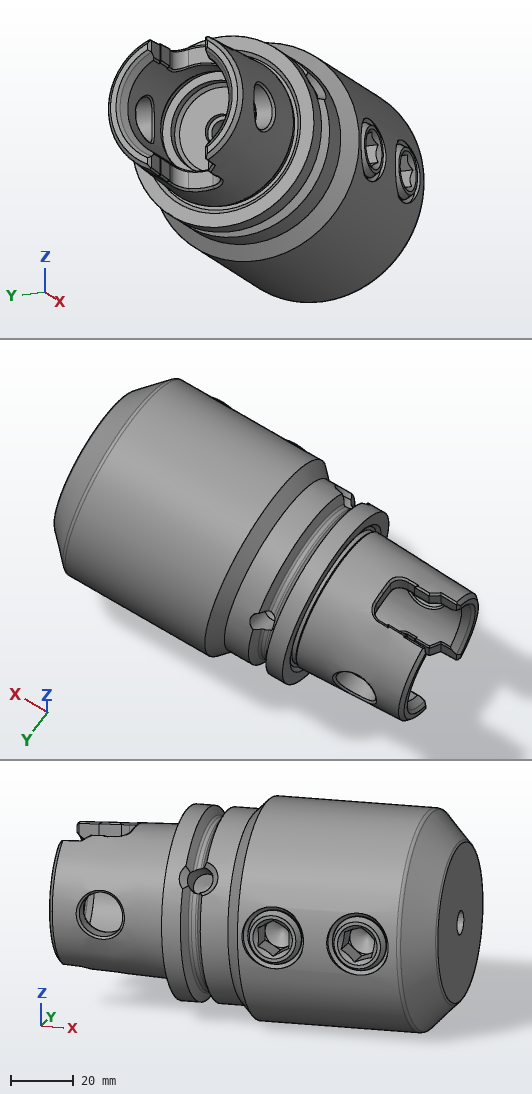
import cadquery as cq
import math


shank_length = 39.95
shank_base_radius = 24.9
shank_tip_radius = 23.3
tip_chamfer = 1.3
shank_end = -shank_length

relief_start = -1.1
relief_depth = 1.0
relief_inner_radius = 24.4
relief_floor_radius = 25.6
relief_outer_radius = 26.9

flange_radius = 31.5
groove_start = 6.26
groove_end = 12.84
groove_floor_radius = 28.0
groove_half_angle = 30
groove_corner_radius = 1.0

body_radius = 36.0
body_cone_start = 22.0
body_full_start = body_cone_start + body_radius - flange_radius
nose_start = 80.0
nose_end = 90.0
nose_edge_start = 89.5
nose_edge_radius = body_radius - (nose_edge_start - nose_start)
nose_edge_chamfer = 0.7
nose_blend_radius = 1.7

mouth_radius = 20.1
mouth_step_radius = 19.1
bore_radius = 17.5
mouth_step_depth = 1.0
mouth_depth = 3.5
undercut_radius = 18.3
undercut_start = -9.5
undercut_full = -8.3
bore_floor = -6.0
recess_radius = 15.4
recess_floor_radius = 14.2
recess_chamfer_start = -3.0
recess_floor = recess_chamfer_start + recess_radius - recess_floor_radius
coolant_radius = 3.9
coolant_rim_radius = 5.3
coolant_rim_depth = 2.0

slot_half_width = 7.8
slot_relief_half_width = 8.2
slot_floor = -18.1
slot_corner_radius = 4.0
slot_relief_start = -24.8
slot_mouth_end = -32.2
slot_mouth_half_width = 10.5
slot_mouth_ramp = 1.8
slot_mouth_flare = 1.0

outer_rim_chamfer = 0.8
inner_rim_chamfer = 0.5
on_surface_tolerance = 0.05

cross_hole_x = -22.5
cross_hole_radius = 7.3

index_hole_x = 11.05
index_hole_angle = 30
index_hole_radius = 4.2
plain_index_hole_radius = 3.8
index_rim_radius = 6.36
index_hole_floor = 21.3
drill_point_half_angle = 59

screw_positions = (38.2, 66.3)
screw_turns = (0, 11)
screw_radius = 8.9
screw_face_y = 36.13
screw_face_radius = 7.7
screw_chamfer_length = 2.2
screw_length = 20.0
screw_rim_radius = 10.2
screw_rim_depth = 1.5
socket_across_flats = 10.2
socket_rim_radius = 6.55
socket_depth = 9.0


def revolve_about_x(points):
    """Solid of revolution about X from a closed (x, radius) outline."""
    return cq.Workplane("XZ").polyline(points).close().revolve(360, (0, 0), (1, 0))


def plug(start_point, direction, length, start_radius, end_radius):
    """Cylinder or cone that starts at a point and runs along a direction."""
    start = cq.Vector(*start_point)
    axis = cq.Vector(*direction)
    if start_radius == end_radius:
        solid = cq.Solid.makeCylinder(start_radius, length, start, axis)
    else:
        solid = cq.Solid.makeCone(start_radius, end_radius, length, start, axis)
    return cq.Workplane(obj=solid)


def shank_blank():
    return revolve_about_x([
        (shank_end, 0),
        (shank_end, shank_tip_radius - tip_chamfer),
        (shank_end + tip_chamfer, shank_tip_radius),
        (relief_start, shank_base_radius),
        (relief_start, 0),
    ])


def shank_bore():
    return revolve_about_x([
        (shank_end, 0),
        (shank_end, mouth_radius),
        (shank_end + mouth_step_depth, mouth_step_radius),
        (shank_end + mouth_depth, bore_radius),
        (undercut_start, bore_radius),
        (undercut_full, undercut_radius),
        (bore_floor, undercut_radius),
        (bore_floor, recess_radius),
        (recess_chamfer_start, recess_radius),
        (recess_floor, recess_floor_radius),
        (recess_floor, coolant_rim_radius),
        (recess_floor + coolant_rim_depth, coolant_rim_radius),
        (recess_floor + coolant_rim_depth, coolant_radius),
        (nose_end, coolant_radius),
        (nose_end, 0),
    ])


def drive_slot():
    """Slot through the shank along Z, with a wider mouth on the -Y side."""
    outside = shank_end - 1
    outline = (
        cq.Workplane("XY")
        .polyline([
            (outside, slot_relief_half_width + slot_mouth_flare + 1),
            (shank_end + slot_mouth_flare, slot_relief_half_width),
            (slot_mouth_end, slot_relief_half_width),
            (slot_mouth_end, slot_half_width),
            (slot_relief_start, slot_half_width),
            (slot_relief_start, slot_relief_half_width),
            (slot_floor, slot_relief_half_width),
            (slot_floor, -slot_relief_half_width),
            (slot_relief_start, -slot_relief_half_width),
            (slot_relief_start, -slot_half_width),
            (slot_mouth_end + slot_mouth_ramp, -slot_half_width),
            (slot_mouth_end - slot_mouth_ramp / 2, -slot_mouth_half_width),
            (shank_end + slot_mouth_flare, -slot_mouth_half_width),
            (outside, -slot_mouth_half_width - slot_mouth_flare - 1),
        ])
        .close()
    )
    slot = outline.extrude(shank_base_radius + 1, both=True)
    return slot.edges("|Z and >X").fillet(slot_corner_radius)


def is_outer_rim(edge):
    """True for the slot and hole edges that lie on the tapered outside of the shank."""
    middle = edge.positionAt(0.5)
    taper = (shank_base_radius - shank_tip_radius) / (relief_start - shank_end - tip_chamfer)
    taper_radius = shank_base_radius - taper * (relief_start - middle.x)
    on_taper = abs(math.hypot(middle.y, middle.z) - taper_radius) < on_surface_tolerance
    within_taper = shank_end + tip_chamfer + on_surface_tolerance < middle.x < slot_floor + on_surface_tolerance
    return on_taper and within_taper


def is_inner_rim(edge):
    """True for the slot and hole edges that lie on the straight bore of the shank."""
    middle = edge.positionAt(0.5)
    on_bore = abs(math.hypot(middle.y, middle.z) - bore_radius) < on_surface_tolerance
    within_bore = shank_end + mouth_depth + on_surface_tolerance < middle.x < slot_floor + on_surface_tolerance
    return on_bore and within_bore


def chamfer_edges(body, belongs, size):
    """Chamfer the edges of a body that pass the given test."""
    chosen = [edge for edge in body.edges().vals() if belongs(edge)]
    return body.newObject(chosen).chamfer(size)


def cross_hole():
    """Hole through both walls of the shank along Y."""
    return plug((cross_hole_x, -body_radius, 0), (0, 1, 0), 2 * body_radius,
                cross_hole_radius, cross_hole_radius)


def collar_and_body():
    """Flange, V-groove, clamping body and nose as one turned blank."""
    wall_run = (flange_radius - groove_floor_radius) * math.tan(math.radians(groove_half_angle))
    blank = revolve_about_x([
        (relief_start, 0),
        (relief_start, shank_base_radius),
        (relief_start + shank_base_radius - relief_inner_radius, relief_inner_radius),
        (relief_depth, relief_inner_radius),
        (relief_depth, relief_floor_radius),
        (0, relief_outer_radius),
        (0, flange_radius),
        (groove_start, flange_radius),
        (groove_start + wall_run, groove_floor_radius),
        (groove_end - wall_run, groove_floor_radius),
        (groove_end, flange_radius),
        (body_cone_start, flange_radius),
        (body_full_start, body_radius),
        (nose_start, body_radius),
        (nose_edge_start, nose_edge_radius),
        (nose_end, nose_edge_radius - nose_edge_chamfer),
        (nose_end, 0),
    ])
    groove_box = cq.selectors.BoxSelector(
        (groove_start + 1, -flange_radius, -flange_radius),
        (groove_end - 1, flange_radius, flange_radius), boundingbox=False)
    blank = blank.edges("%CIRCLE").edges(groove_box).fillet(groove_corner_radius)
    nose_box = cq.selectors.BoxSelector(
        (nose_start - 0.1, -body_radius, -body_radius),
        (nose_start + 0.1, body_radius, body_radius))
    return blank.edges("%CIRCLE").edges(nose_box).fillet(nose_blend_radius)


def index_hole(side, radius, rim_radius):
    """Radial drilled hole in the flange groove, leaning up from the given Y side.

    A rim radius above the hole radius adds a conical rim.
    """
    lean = math.radians(index_hole_angle)
    outward = cq.Vector(0, side * math.cos(lean), math.sin(lean))
    centre = cq.Vector(index_hole_x, 0, 0)
    floor = centre + outward * index_hole_floor
    hole = plug(floor.toTuple(), outward.toTuple(), body_radius - index_hole_floor - 1,
                radius, radius)
    point_length = radius / math.tan(math.radians(drill_point_half_angle))
    hole = hole.union(plug(floor.toTuple(), (-outward).toTuple(), point_length, radius, 0))
    if rim_radius > radius:
        mouth = centre + outward * flange_radius
        rim_depth = rim_radius - radius
        hole = hole.union(plug((mouth - outward * rim_depth).toTuple(), outward.toTuple(),
                               2 * rim_depth, radius, rim_radius + rim_depth))
    return hole


def screw_hole(x):
    """Blind screw hole with a counterbore that tapers down to the screw."""
    hole = plug((x, -screw_face_y - 1, 0), (0, 1, 0), screw_length + 1, screw_radius, screw_radius)
    rim_floor_y = -body_radius + screw_rim_depth
    counterbore = plug((x, rim_floor_y, 0), (0, -1, 0), screw_rim_depth + 1,
                       screw_rim_radius, screw_rim_radius)
    rim = plug((x, rim_floor_y, 0), (0, 1, 0), screw_rim_radius - screw_radius,
               screw_rim_radius, screw_radius)
    return hole.union(counterbore).union(rim)


def make_holder():
    shank = shank_blank().cut(shank_bore()).cut(drive_slot()).cut(cross_hole())
    shank = chamfer_edges(shank, is_outer_rim, outer_rim_chamfer)
    shank = chamfer_edges(shank, is_inner_rim, inner_rim_chamfer)
    holder = shank.union(collar_and_body().cut(shank_bore()))
    holder = holder.cut(index_hole(-1, index_hole_radius, index_rim_radius))
    holder = holder.cut(index_hole(1, plain_index_hole_radius, plain_index_hole_radius))
    for x in screw_positions:
        holder = holder.cut(screw_hole(x))
    return holder


def make_screw(x, turn):
    """Clamping screw with a chamfered outer face and a hexagon socket."""
    face = (x, -screw_face_y, 0)
    inward = (0, 1, 0)
    screw = plug(face, inward, screw_chamfer_length, screw_face_radius, screw_radius)
    shaft_start = (x, -screw_face_y + screw_chamfer_length, 0)
    screw = screw.union(plug(shaft_start, inward, screw_length - screw_chamfer_length,
                             screw_radius, screw_radius))

    corner_diameter = socket_across_flats / math.cos(math.pi / 6)
    socket_plane = cq.Plane(origin=face, xDir=(0, 0, 1), normal=inward)
    socket = cq.Workplane(socket_plane).polygon(6, corner_diameter).extrude(socket_depth)
    socket = socket.rotate(face, (x, 0, 0), turn)
    flat_distance = socket_across_flats / 2
    screw = screw.cut(socket)
    screw = screw.cut(plug(face, inward, socket_rim_radius - flat_distance,
                           socket_rim_radius, flat_distance))
    point_length = flat_distance / math.tan(math.radians(drill_point_half_angle))
    tip_start = (x, -screw_face_y + socket_depth, 0)
    return screw.cut(plug(tip_start, inward, point_length, flat_distance, 0))


holder = make_holder()
screws = [make_screw(x, turn) for x, turn in zip(screw_positions, screw_turns)]
result = cq.Compound.makeCompound([holder.val(), *[screw.val() for screw in screws]])